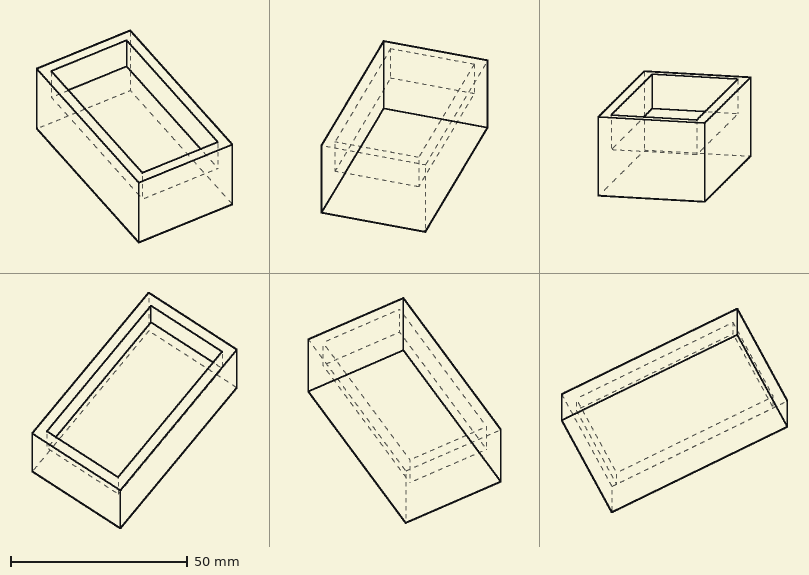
import cadquery as cq

length = 56.0
width = 31.0
height = 23.0

wall = 3.0
pocket_depth = 10.0

block = cq.Workplane("XY").box(length, width, height, centered=(True, True, False))

result = (
    block.faces(">Z")
    .workplane()
    .rect(length - 2 * wall, width - 2 * wall)
    .cutBlind(-pocket_depth)
)